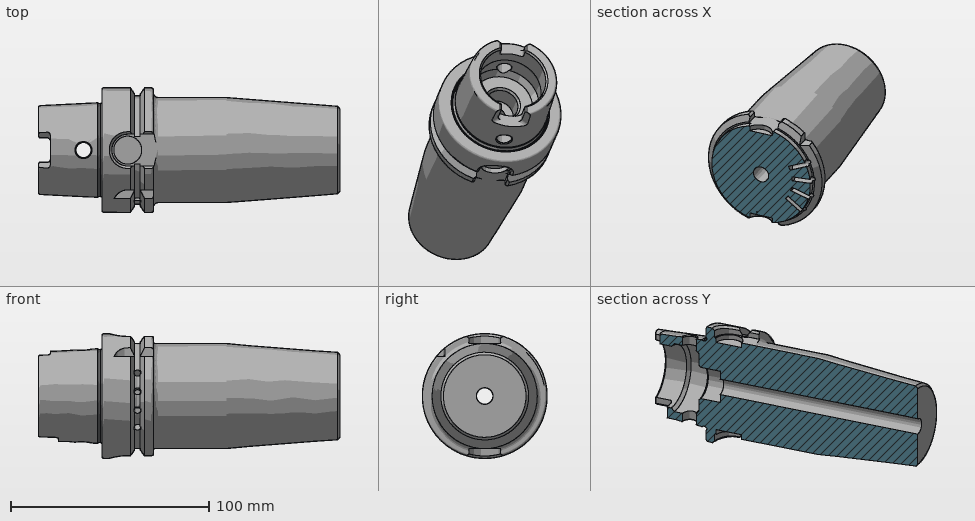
import math

import cadquery as cq


taper_length = 32.0
taper_end_radius = 24.0
taper_ratio = 0.05
nose_fillet = 1.0
neck_start_x = -2.2
neck_floor_start_x = -1.6
neck_floor_end_x = -0.6
neck_radius = 23.5
face_recess_radius = 25.4
face_recess_depth = 0.5
face_recess_inner_radius = 24.4

flange_radius = 31.5
flange_length = 26.0
flange_fillet = 1.1
groove_floor_radius = 27.4
groove_cone_end_radius = 28.3
groove_start_x = 14.3
groove_floor_start_x = 16.5
groove_floor_end_x = 19.3
groove_end_x = 21.5

body_radius = 26.5
body_fillet = 2.3
body_end_x = 63.0
tip_x = 120.0
tip_cone_angle = 4.5
tip_chamfer = 1.2

mouth_radius = 17.7
mouth_chamfer_depth = 0.9
lip_radius = 16.8
lip_end_x = -19.5
clamp_angle = 45.0
clamp_radius = 18.5
cavity_floor_x = -4.0
cavity_floor_radius = 15.7
port_mouth_radius = 9.5
port_radius = 8.4
port_depth = 12.0
through_radius = 4.1

notch_half_width = 6.1
notch_flare_half_width = 9.4
notch_flare_start_z = 18.9
notch_flare_end_z = 21.0
notch_corner_radius = 1.6
notch_lead_width = 0.9
notch_lead_depth = 0.5
notch_lead_height = 19.5
top_notch_depth = 6.0
bottom_notch_depth = 10.0

cross_hole_x = -9.3
cross_hole_radius = 3.8
cross_hole_chamfer = 0.5

pocket_x = 13.0
pocket_radius = 8.0
pocket_rim_chamfer = 1.3
pocket_floor_z = body_radius
recess_radius = 7.05
recess_depth = 2.5

step_wall_y = -20.0
step_floor_z = 19.9
step_end_radius = 8.0
step_end_x = 13.3

balance_hole_angles = (25.0, 5.0, -15.0, -35.0)
balance_hole_radius = 1.7
balance_hole_depth = 10.0


cut_margin = 1.0


def taper_radius(x):
    return taper_end_radius + taper_ratio * x


def revolve_profile(points):
    return cq.Workplane("XY").polyline(points).close().revolve(360, (0, 0, 0), (1, 0, 0))


def make_body():
    nose_x = -taper_length
    nose_fillet_x = nose_x + nose_fillet
    nose_radius = taper_radius(nose_fillet_x)
    tip_radius = body_radius - (tip_x - body_end_x) * math.tan(math.radians(tip_cone_angle))
    fillet_mid = 1 - math.sqrt(0.5)
    flange_mid = flange_fillet * fillet_mid
    body_mid = body_fillet * fillet_mid
    outline = (
        cq.Workplane("XY")
        .moveTo(nose_x, 0)
        .lineTo(nose_x, nose_radius - nose_fillet)
        .threePointArc(
            (nose_x + nose_fillet * fillet_mid, nose_radius - nose_fillet * fillet_mid),
            (nose_fillet_x, nose_radius),
        )
        .lineTo(neck_start_x, taper_radius(neck_start_x))
        .lineTo(neck_floor_start_x, neck_radius)
        .lineTo(neck_floor_end_x, neck_radius)
        .lineTo(face_recess_depth, face_recess_inner_radius)
        .lineTo(face_recess_depth, face_recess_radius - face_recess_depth)
        .lineTo(0, face_recess_radius)
        .lineTo(0, flange_radius - flange_fillet)
        .threePointArc(
            (flange_mid, flange_radius - flange_mid),
            (flange_fillet, flange_radius),
        )
        .lineTo(groove_start_x, flange_radius)
        .lineTo(groove_floor_start_x, groove_cone_end_radius)
        .lineTo(groove_floor_start_x, groove_floor_radius)
        .lineTo(groove_floor_end_x, groove_floor_radius)
        .lineTo(groove_floor_end_x, groove_cone_end_radius)
        .lineTo(groove_end_x, flange_radius)
        .lineTo(flange_length - flange_fillet, flange_radius)
        .threePointArc(
            (flange_length - flange_mid, flange_radius - flange_mid),
            (flange_length, flange_radius - flange_fillet),
        )
        .lineTo(flange_length, body_radius + body_fillet)
        .threePointArc(
            (flange_length + body_mid, body_radius + body_mid),
            (flange_length + body_fillet, body_radius),
        )
        .lineTo(body_end_x, body_radius)
        .lineTo(tip_x, tip_radius)
        .lineTo(tip_x, 0)
        .close()
    )
    body = outline.revolve(360, (0, 0, 0), (1, 0, 0))
    return body.faces(">X").edges().chamfer(tip_chamfer)


def make_bores():
    nose_x = -taper_length
    clamp_end_x = lip_end_x + (clamp_radius - lip_radius) / math.tan(math.radians(clamp_angle))
    port_chamfer = port_mouth_radius - port_radius
    port_end_x = cavity_floor_x + port_depth
    return revolve_profile([
        (nose_x, 0),
        (nose_x, mouth_radius),
        (nose_x + mouth_chamfer_depth, lip_radius),
        (lip_end_x, lip_radius),
        (clamp_end_x, clamp_radius),
        (cavity_floor_x - (clamp_radius - cavity_floor_radius), clamp_radius),
        (cavity_floor_x, cavity_floor_radius),
        (cavity_floor_x, port_mouth_radius),
        (cavity_floor_x + port_chamfer, port_radius),
        (port_end_x, port_radius),
        (port_end_x, through_radius),
        (tip_x, through_radius),
        (tip_x, 0),
    ])


def make_notch(depth):
    """Drive notch open to the nose at +Z, with walls flaring outwards near the taper surface."""
    flare_slope = (notch_flare_half_width - notch_half_width) / (notch_flare_end_z - notch_flare_start_z)
    top_z = taper_end_radius + cut_margin
    top_half_width = notch_half_width + flare_slope * (top_z - notch_flare_start_z)
    half_section = [
        (notch_half_width, 0),
        (notch_half_width, notch_flare_start_z),
        (top_half_width, top_z),
    ]
    mirrored = [(-y, z) for y, z in reversed(half_section)]
    notch = (
        cq.Workplane("YZ", origin=(-taper_length, 0, 0))
        .polyline(half_section + mirrored)
        .close()
        .extrude(depth)
    )
    corners = notch.faces(">X").edges("not(#Z)").edges("not(|Y)")
    lead_in = (
        cq.Workplane("XY")
        .polyline([
            (-taper_length, notch_half_width + notch_lead_width),
            (-taper_length + notch_lead_depth, notch_half_width),
            (-taper_length + notch_lead_depth, -notch_half_width),
            (-taper_length, -notch_half_width - notch_lead_width),
        ])
        .close()
        .extrude(notch_lead_height)
    )
    return corners.fillet(notch_corner_radius).union(lead_in)


def drill_cross_hole(body):
    """Hole through both sides of the taper, with its outer rims chamfered."""
    reach = taper_end_radius + cut_margin
    hole = (
        cq.Workplane("XY", origin=(cross_hole_x, 0, -reach))
        .circle(cross_hole_radius)
        .extrude(2 * reach)
    )
    body = body.cut(hole)
    box_half = cross_hole_radius + cut_margin
    for side in (1, -1):
        rim_box = cq.selectors.BoxSelector(
            (cross_hole_x - box_half, -box_half, side * clamp_radius),
            (cross_hole_x + box_half, box_half, side * reach),
        )
        body = body.edges(rim_box).chamfer(cross_hole_chamfer)
    return body


def make_pocket():
    """Round-ended pocket at +Z, open towards +X, with a chamfered rim and a round recess in its floor."""
    blank_length = flange_length + body_fillet
    depth = flange_radius - pocket_floor_z
    height = depth + cut_margin
    slot_length = blank_length - pocket_x
    floor = cq.Workplane("XY", origin=(pocket_x, 0, pocket_floor_z))
    round_end = floor.circle(pocket_radius).extrude(height)
    slot = floor.rect(slot_length, 2 * pocket_radius).extrude(height).translate((slot_length / 2, 0, 0))
    blank = cq.Workplane("YZ").circle(flange_radius).extrude(blank_length)
    rim_height = 2 / 3 * depth
    rim_box = cq.selectors.BoxSelector(
        (cut_margin, -pocket_radius - cut_margin, pocket_floor_z + rim_height),
        (blank_length - cut_margin, pocket_radius + cut_margin, flange_radius + cut_margin),
    )
    pocketed = blank.cut(round_end.union(slot)).edges(rim_box).chamfer(pocket_rim_chamfer)
    recess = floor.circle(recess_radius).extrude(-recess_depth)
    return blank.cut(pocketed).union(recess)


def make_orientation_notch():
    height = flange_radius - step_floor_z
    width = 2 * step_end_radius
    length = flange_length - step_end_x
    floor = cq.Workplane("XY", origin=(step_end_x, step_wall_y - step_end_radius, step_floor_z))
    straight = floor.rect(length, width).extrude(height).translate((length / 2, 0, 0))
    return straight.union(floor.circle(step_end_radius).extrude(height))


def make_balance_hole(angle):
    groove_mid_x = (groove_floor_start_x + groove_floor_end_x) / 2
    bottom_radius = groove_floor_radius - balance_hole_depth
    hole = (
        cq.Workplane("XZ", origin=(groove_mid_x, -bottom_radius, 0))
        .circle(balance_hole_radius)
        .extrude(flange_radius - bottom_radius)
    )
    return hole.rotate((0, 0, 0), (1, 0, 0), -angle)


def to_bottom(shape):
    return shape.rotate((0, 0, 0), (1, 0, 0), 180)


result = make_body().cut(make_bores())
result = result.cut(make_notch(top_notch_depth))
result = result.cut(to_bottom(make_notch(bottom_notch_depth)))
result = drill_cross_hole(result)
pocket = make_pocket()
result = result.cut(pocket).cut(to_bottom(pocket))
result = result.cut(make_orientation_notch())
for hole_angle in balance_hole_angles:
    result = result.cut(make_balance_hole(hole_angle))